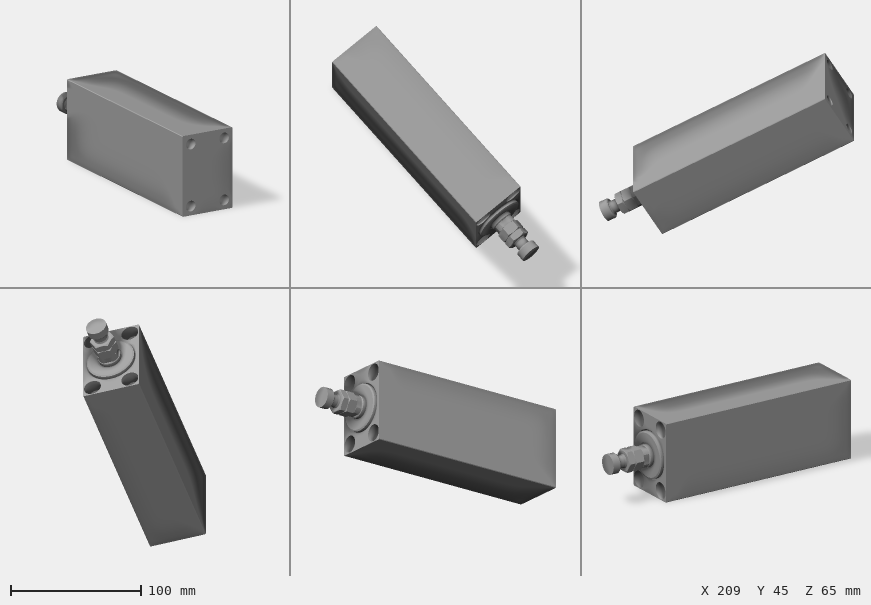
import cadquery as cq
import math


TOTAL_LENGTH = 209.0
BLOCK_WIDTH = 45.0
BLOCK_HEIGHT = 65.0
BLOCK_EDGE_CHAMFER = 0.5

NECK_START = 8.0
NECK_LENGTH = 6.0
PIN_HEX_LENGTH = 5.9
NUT_LENGTH = 8.2
FLATS_LENGTH = 5.0
COLLAR_LENGTH = 3.1
GLAND_LENGTH = 2.5
HEX_START = NECK_START + NECK_LENGTH
NUT_START = HEX_START + PIN_HEX_LENGTH
ROD_START = NUT_START + NUT_LENGTH
COLLAR_START = ROD_START + FLATS_LENGTH
GLAND_START = COLLAR_START + COLLAR_LENGTH
BLOCK_START = GLAND_START + GLAND_LENGTH

GLAND_DIAMETER = 38.0
GLAND_CHAMFER_LENGTH = 0.6
GLAND_CHAMFER_DEPTH = 1.3
GLAND_GROOVE_DIAMETER = 40.0
WIPER_RECESS_DIAMETER = 20.7
WIPER_RECESS_DEPTH = 0.5

HOLE_SPACING_Y = 30.0
HOLE_SPACING_Z = 50.0
HOLE_DIAMETER = 8.5
COUNTERBORE_DIAMETER = 13.5
COUNTERBORE_DEPTH = 10.5

ROD_DIAMETER = 18.0
ROD_CHAMFER = 0.6
ROD_DEPTH_IN_BLOCK = 41.8
FLATS_DIAMETER = 17.1
FLATS_WIDTH = 15.0

HEAD_DIAMETER = 16.3
HEAD_CHAMFER = 0.8
NECK_DIAMETER = 10.0
NECK_ROOT = 0.8
HEX_END_ROOT = 1.3
HEX_END_DIAMETER = 11.3
HEX_WIDTH = 17.0
HEX_FACE_DIAMETER = 16.5
HEX_CHAMFER_ANGLE = 30.0
STUD_DIAMETER = 10.0
STUD_DEPTH_IN_ROD = 12.5


def cylinder(start, length, diameter):
    """Solid cylinder on the axis, from X = start."""
    return cq.Workplane("YZ", origin=(start, 0, 0)).circle(diameter / 2).extrude(length)


def turned(profile):
    """Solid of revolution about the axis from (x, radius) points; the axis closes the outline."""
    on_axis = [(profile[0][0], 0), *profile, (profile[-1][0], 0)]
    return cq.Workplane("XY").polyline(on_axis).close().revolve(360, (0, 0, 0), (1, 0, 0))


def chamfered_hexagon(start, length):
    """Hexagon with flats facing +Z and -Z, its corners turned down at both ends."""
    corner_diameter = HEX_WIDTH / math.cos(math.radians(30))
    prism = cq.Workplane("YZ", origin=(start, 0, 0)).polygon(6, corner_diameter).extrude(length)
    face_radius = HEX_FACE_DIAMETER / 2
    corner_radius = corner_diameter / 2
    chamfer_length = (corner_radius - face_radius) * math.tan(math.radians(HEX_CHAMFER_ANGLE))
    end = start + length
    envelope = turned([
        (start, face_radius),
        (start + chamfer_length, corner_radius),
        (end - chamfer_length, corner_radius),
        (end, face_radius),
    ])
    return prism.intersect(envelope)


def make_housing():
    """Block with its gland boss, a blind rod bore and four counterbored mounting holes."""
    block_length = TOTAL_LENGTH - BLOCK_START
    block = cq.Workplane("YZ", origin=(BLOCK_START, 0, 0)).rect(BLOCK_WIDTH, BLOCK_HEIGHT)
    block = block.extrude(block_length).edges("|X").chamfer(BLOCK_EDGE_CHAMFER)

    gland_radius = GLAND_DIAMETER / 2
    groove_depth = (GLAND_GROOVE_DIAMETER - GLAND_DIAMETER) / 2
    groove = turned([
        (BLOCK_START, GLAND_GROOVE_DIAMETER / 2),
        (BLOCK_START + groove_depth, gland_radius),
    ])
    gland = turned([
        (GLAND_START, gland_radius - GLAND_CHAMFER_DEPTH),
        (GLAND_START + GLAND_CHAMFER_LENGTH, gland_radius),
        (BLOCK_START + groove_depth, gland_radius),
    ])
    housing = block.cut(groove).union(gland)

    bore_length = BLOCK_START + ROD_DEPTH_IN_BLOCK - GLAND_START
    housing = housing.cut(cylinder(GLAND_START, bore_length, ROD_DIAMETER))
    housing = housing.cut(cylinder(GLAND_START, WIPER_RECESS_DEPTH, WIPER_RECESS_DIAMETER))

    hole = cylinder(BLOCK_START, block_length, HOLE_DIAMETER)
    hole = hole.union(cylinder(BLOCK_START, COUNTERBORE_DEPTH, COUNTERBORE_DIAMETER))
    for side_y in (-1, 1):
        for side_z in (-1, 1):
            offset = (0, side_y * HOLE_SPACING_Y / 2, side_z * HOLE_SPACING_Z / 2)
            housing = housing.cut(hole.translate(offset))
    return housing


def make_rod():
    """Piston rod with four wrench flats and a plain socket for the stud."""
    rod_radius = ROD_DIAMETER / 2
    shank = turned([
        (COLLAR_START, rod_radius - ROD_CHAMFER),
        (COLLAR_START + ROD_CHAMFER, rod_radius),
        (BLOCK_START + ROD_DEPTH_IN_BLOCK, rod_radius),
    ])
    square = cq.Workplane("YZ", origin=(ROD_START, 0, 0)).rect(FLATS_WIDTH, FLATS_WIDTH)
    square = square.extrude(FLATS_LENGTH)
    flats = cylinder(ROD_START, FLATS_LENGTH, FLATS_DIAMETER).intersect(square)
    socket = cylinder(ROD_START, STUD_DEPTH_IN_ROD, STUD_DIAMETER)
    return shank.union(flats).cut(socket)


def make_nut():
    """Lock nut between the coupling pin's hexagon and the rod."""
    return chamfered_hexagon(NUT_START, NUT_LENGTH).cut(cylinder(NUT_START, NUT_LENGTH, STUD_DIAMETER))


def make_coupling_pin():
    """Headed pin with a necked shaft, a wrench hexagon and a stud through the nut into the rod."""
    head_radius = HEAD_DIAMETER / 2
    neck_radius = NECK_DIAMETER / 2
    head_end = NECK_START - NECK_ROOT
    head_and_neck = turned([
        (0, head_radius),
        (head_end - HEAD_CHAMFER, head_radius),
        (head_end, head_radius - HEAD_CHAMFER),
        (head_end, neck_radius + NECK_ROOT),
        (NECK_START, neck_radius),
        (HEX_START - HEX_END_ROOT, neck_radius),
        (HEX_START, HEX_END_DIAMETER / 2),
    ])
    stud = cylinder(NUT_START, NUT_LENGTH + STUD_DEPTH_IN_ROD, STUD_DIAMETER)
    return head_and_neck.union(chamfered_hexagon(HEX_START, PIN_HEX_LENGTH)).union(stud)


housing = make_housing()
rod = make_rod()
nut = make_nut()
coupling_pin = make_coupling_pin()

result = cq.Compound.makeCompound([housing.val(), rod.val(), nut.val(), coupling_pin.val()])